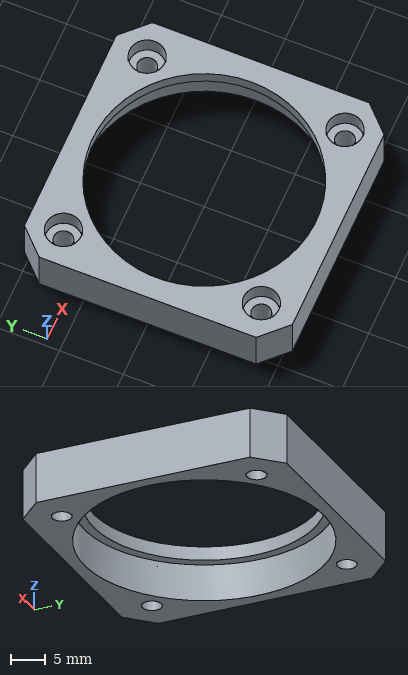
import cadquery as cq

side = 42.01
height = 8.0
corner_cut = 4.0

bore_diameter = 35.0
recess_diameter = 38.0
lip_height = 2.2
recess_depth = height - lip_height

hole_spacing = 31.0
hole_diameter = 3.0
counterbore_diameter = 5.5
counterbore_depth = 3.0


def make_plate():
    """Square block standing on Z = 0 with its four vertical edges chamfered."""
    plate = cq.Workplane("XY").box(side, side, height, centered=(True, True, False))
    return plate.edges("|Z").chamfer(corner_cut)


def cut_central_bore(body):
    """Through bore with a wider recess in the bottom face, leaving a lip at the top."""
    bore = cq.Workplane("XY").circle(bore_diameter / 2).extrude(height)
    recess = cq.Workplane("XY").circle(recess_diameter / 2).extrude(recess_depth)
    return body.cut(bore).cut(recess)


def cut_screw_holes(body):
    """Four through holes on a square pattern, counterbored from the top face."""
    return (
        body.faces(">Z")
        .workplane(origin=(0, 0, height))
        .rect(hole_spacing, hole_spacing, forConstruction=True)
        .vertices()
        .cboreHole(hole_diameter, counterbore_diameter, counterbore_depth)
    )


result = cut_screw_holes(cut_central_bore(make_plate()))